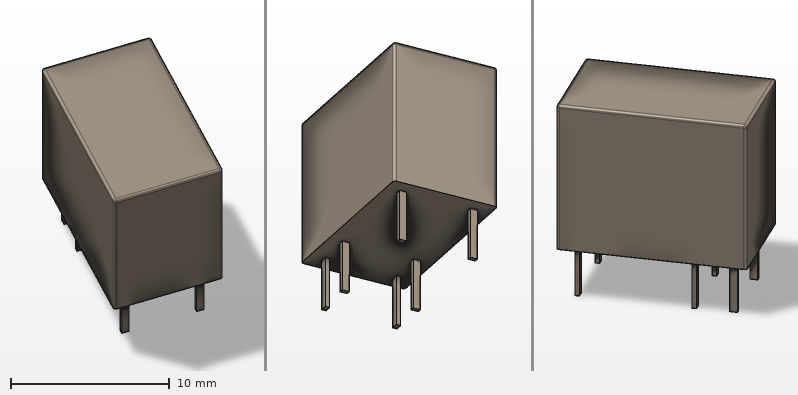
import cadquery as cq

BODY_LENGTH = 12.4
BODY_WIDTH = 7.4
BODY_HEIGHT = 10.0
EDGE_RADIUS = 0.2

PIN_LENGTH = 3.5
PIN_BROAD = 0.5
PIN_THIN = 0.3
PIN_PITCH = 2.54
ROW_OFFSET = 2.54

COIL_PIN_X = -2 * PIN_PITCH
INNER_CONTACT_X = -PIN_PITCH
OUTER_CONTACT_X = 2 * PIN_PITCH


def make_body():
    """Box with rounded top and upright edges; the bottom rim stays sharp."""
    box = cq.Workplane("XY").box(BODY_LENGTH, BODY_WIDTH, BODY_HEIGHT, centered=(True, True, False))
    return box.edges("|Z or >Z").fillet(EDGE_RADIUS)


def make_pins(x, size_x, size_y):
    """One pin in each row at the given X, hanging from the housing floor."""
    centers = [(x, -ROW_OFFSET), (x, ROW_OFFSET)]
    return cq.Workplane("XY").pushPoints(centers).rect(size_x, size_y).extrude(-PIN_LENGTH)


result = make_body()

result = result.union(make_pins(COIL_PIN_X, PIN_BROAD, PIN_THIN))

for contact_x in (INNER_CONTACT_X, OUTER_CONTACT_X):
    result = result.union(make_pins(contact_x, PIN_THIN, PIN_BROAD))